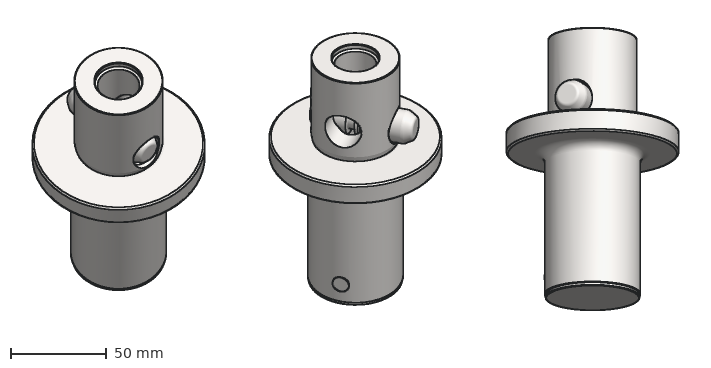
import cadquery as cq
import math

total_height = 140.0
flange_top = 90.2
flange_thickness = 12.0
flange_bottom = flange_top - flange_thickness

flange_radius = 90.0 / 2
shank_radius = 50.0 / 2
spigot_radius = 46.3 / 2

flange_chamfer = 1.0
shank_fillet = 5.0
spigot_chamfer = 0.4
pilot_length = 1.7
pilot_step = 0.4
pilot_radius = shank_radius - pilot_step
pilot_chamfer = 0.4

relief_height = 2.8
relief_depth = 0.5
relief_face_radius = 24.1
relief_face_depth = 0.3

bore_radius = 10.9
counterbore_radius = 12.3
counterbore_depth = 2.8
counterbore_chamfer = 0.4
ledge_slope = 30.0
ledge_drop = (counterbore_radius - bore_radius) * math.tan(math.radians(ledge_slope))
bore_floor = flange_bottom
drill_tip_angle = 130.0
drill_tip_depth = bore_radius / math.tan(math.radians(drill_tip_angle / 2))

pin_radius = 18.0 / 2
pin_z = 102.0
nose_length = 5.0
nose_slope = 30.0
nose_drop = nose_length * math.tan(math.radians(nose_slope))
tip_blend = 2.0
shoulder_blend = 3.0
extended_pin_tip = 33.0
extended_pin_inner_end = 5.7
retracted_pin_tip = 23.4
retracted_pin_inner_end = -4.9
inner_end_chamfer = 0.8
neck_start = -2.2
neck_width = 4.9
neck_radius = 6.2
neck_fillet = 0.5

mouth_radius = 10.4
mouth_half_angle = 30.0
mouth_depth = (mouth_radius - pin_radius) / math.tan(math.radians(mouth_half_angle))

cross_hole_radius = 10.0
cross_hole_z = 108.4

button_radius = 4.5
button_z = 13.0
button_face = 25.5
button_length = 9.8


def x_cylinder(radius, x_start, length):
    """Cylinder on the pin axis, growing from x_start towards +X."""
    plane = cq.Workplane("YZ", origin=(x_start, 0, pin_z))
    return plane.circle(radius).extrude(length)


def y_cylinder(radius, z, y_start, length):
    """Cylinder along +Y at height z, growing from y_start."""
    plane = cq.Workplane("XZ", origin=(0, y_start, z))
    return plane.circle(radius).extrude(-length)


def housing_blank():
    """Shank, flange and spigot turned as one piece, with the relief groove."""
    groove_radius = spigot_radius - relief_depth
    return (
        cq.Workplane("XZ")
        .moveTo(0, 0)
        .lineTo(pilot_radius - pilot_chamfer, 0)
        .lineTo(pilot_radius, pilot_chamfer)
        .lineTo(pilot_radius, pilot_length)
        .lineTo(shank_radius, pilot_length + pilot_step)
        .lineTo(shank_radius, flange_bottom - shank_fillet)
        .radiusArc((shank_radius + shank_fillet, flange_bottom), shank_fillet)
        .lineTo(flange_radius - flange_chamfer, flange_bottom)
        .lineTo(flange_radius, flange_bottom + flange_chamfer)
        .lineTo(flange_radius, flange_top - flange_chamfer)
        .lineTo(flange_radius - flange_chamfer, flange_top)
        .lineTo(relief_face_radius, flange_top)
        .lineTo(groove_radius, flange_top - relief_face_depth)
        .lineTo(spigot_radius, flange_top + relief_height)
        .lineTo(spigot_radius, total_height - spigot_chamfer)
        .lineTo(spigot_radius - spigot_chamfer, total_height)
        .lineTo(0, total_height)
        .close()
        .revolve(360, (0, 0, 0), (0, 1, 0))
    )


def top_bore():
    """Chamfered counterbore, sloping ledge, bore and drill point."""
    ledge_top = total_height - counterbore_depth
    return (
        cq.Workplane("XZ")
        .moveTo(0, bore_floor - drill_tip_depth)
        .lineTo(bore_radius, bore_floor)
        .lineTo(bore_radius, ledge_top - ledge_drop)
        .lineTo(counterbore_radius, ledge_top)
        .lineTo(counterbore_radius, total_height - counterbore_chamfer)
        .lineTo(counterbore_radius + counterbore_chamfer, total_height)
        .lineTo(0, total_height)
        .close()
        .revolve(360, (0, 0, 0), (0, 1, 0))
    )


def pin_bore():
    """Through bore for both pins, countersunk at each mouth."""
    bore = x_cylinder(pin_radius, -spigot_radius, 2 * spigot_radius)
    for side in (-1, 1):
        mouth = cq.Solid.makeCone(
            mouth_radius,
            pin_radius,
            mouth_depth,
            pnt=cq.Vector(side * spigot_radius, 0, pin_z),
            dir=cq.Vector(-side, 0, 0),
        )
        bore = bore.union(cq.Workplane(mouth))
    return bore


def make_button():
    """Round button whose flat face stands just proud of the shank."""
    return y_cylinder(button_radius, button_z, button_face - button_length, button_length)


def make_housing(button):
    """Turned housing with its bores and the seat for the button."""
    cross_hole = y_cylinder(cross_hole_radius, cross_hole_z, 0, spigot_radius)
    return housing_blank().cut(top_bore()).cut(pin_bore()).cut(cross_hole).cut(button)


def nosed_pin(inner_end, tip):
    """Pin along X with a blended conical nose at its +X tip."""
    blank = x_cylinder(pin_radius, inner_end, tip - inner_end)
    coned = blank.faces(">X").edges().chamfer(nose_length, nose_drop)
    blunted = coned.faces(">X").edges().fillet(tip_blend)
    shoulder_edge = cq.selectors.NearestToPointSelector((tip - nose_length, 0, pin_z))
    return blunted.edges(shoulder_edge).fillet(shoulder_blend)


def make_extended_pin():
    """Plain pin standing out of the -X side of the spigot."""
    pin = nosed_pin(extended_pin_inner_end, extended_pin_tip)
    return pin.rotate((0, 0, 0), (0, 0, 1), 180)


def neck_core():
    """Neck of the retracted pin, flaring into its shoulders through fillets."""
    neck_end = neck_start + neck_width
    flare_radius = neck_radius + neck_fillet
    return (
        cq.Workplane("XY", origin=(0, 0, pin_z))
        .moveTo(neck_start, 0)
        .lineTo(neck_start, flare_radius)
        .radiusArc((neck_start + neck_fillet, neck_radius), -neck_fillet)
        .lineTo(neck_end - neck_fillet, neck_radius)
        .radiusArc((neck_end, flare_radius), -neck_fillet)
        .lineTo(neck_end, 0)
        .close()
        .revolve(360, (0, 0, 0), (1, 0, 0))
    )


def make_retracted_pin():
    """Pin with its tip about level with the +X side and a necked inner end."""
    pin = nosed_pin(retracted_pin_inner_end, retracted_pin_tip)
    pin = pin.faces("<X").edges().chamfer(inner_end_chamfer)
    neck_groove = x_cylinder(pin_radius + neck_fillet, neck_start, neck_width).cut(neck_core())
    return pin.cut(neck_groove)


button = make_button()
housing = make_housing(button)
extended_pin = make_extended_pin()
retracted_pin = make_retracted_pin()

result = cq.Compound.makeCompound(
    [housing.val(), extended_pin.val(), retracted_pin.val(), button.val()]
)